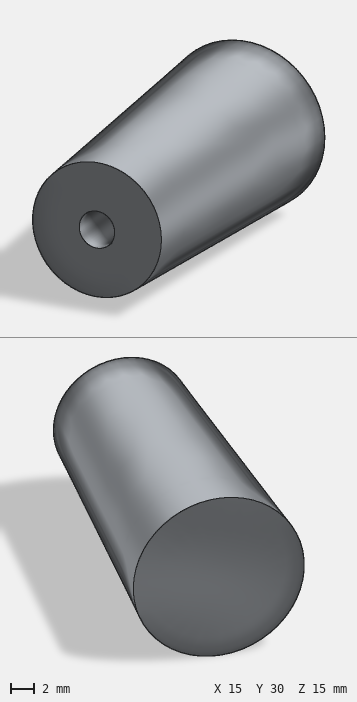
import cadquery as cq
import math

length = 30.0
large_diameter = 15.0
small_diameter = 12.0
dome_height = 1.0
hole_diameter = 3.3
hole_depth = 12.0
drill_point_angle = 118.0

large_radius = large_diameter / 2
small_radius = small_diameter / 2
hole_radius = hole_diameter / 2
shoulder_y = length - dome_height


def handle_body():
    """Tapered handle with a shallow spherical dome on its large end."""
    dome_radius = (large_radius**2 + dome_height**2) / (2 * dome_height)
    half_rise = dome_radius - math.sqrt(dome_radius**2 - (large_radius / 2) ** 2)
    return (
        cq.Workplane("XY")
        .lineTo(small_radius, 0)
        .lineTo(large_radius, shoulder_y)
        .threePointArc((large_radius / 2, length - half_rise), (0, length))
        .close()
        .revolve(360, (0, 0, 0), (0, 1, 0))
    )


def drilled_hole():
    """Blind hole in the small end, finishing in a conical drill point."""
    point_depth = hole_radius / math.tan(math.radians(drill_point_angle / 2))
    return (
        cq.Workplane("XY")
        .lineTo(hole_radius, 0)
        .lineTo(hole_radius, hole_depth)
        .lineTo(0, hole_depth + point_depth)
        .close()
        .revolve(360, (0, 0, 0), (0, 1, 0))
    )


result = handle_body().cut(drilled_hole())